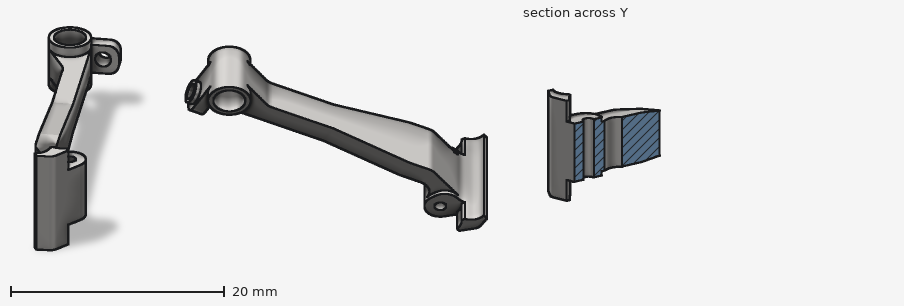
import cadquery as cq
import math

arm_angle = 28.0

barrel_radius = 2.0
barrel_bore_radius = 1.5
barrel_height = 5.0

arm_width = 2.0
foot_offset = 1.94
bend_radius = 1.5
slim_half_height = 1.5
wide_half_height = barrel_height / 2
taper_start = 11.0
taper_end = 19.02

pin_x = 23.15
pin_y = -8.07
pin_hole_radius = 0.55
boss_radius = 1.5
boss_stretch = 0.5
boss_height = 5.85
blade_height = 10.0
blade_gap = 0.08
blade_drop = 0.83
blade_inset = 0.8
hook_back_angle = 22.0
hook_knee = (2.6, -2.55)
hook_knee_radius = 0.9
hook_tip = (1.94, -3.98)

ear_thickness = 1.27
ear_length = 4.5
ear_half_width = 1.5
ear_corner_radius = 1.0
ear_ring_radius = 1.1
ear_ring_height = 0.5
ear_hole_radius = 0.75

sin_arm = math.sin(math.radians(arm_angle))
cos_arm = math.cos(math.radians(arm_angle))
boss_bottom = pin_y - boss_stretch - boss_radius


def in_arm_frame(along, across):
    """Point at a distance along the arm and across it, from the barrel axis."""
    return (along * cos_arm + across * sin_arm, across * cos_arm - along * sin_arm)


def cylinder(x, y, radius, height):
    return cq.Workplane("XY").center(x, y).circle(radius).extrude(height / 2, both=True)


def make_arm():
    pin_along = pin_x * cos_arm - pin_y * sin_arm
    pin_across = pin_x * sin_arm + pin_y * cos_arm
    arc_across = arm_width + bend_radius
    reach = boss_radius + bend_radius
    arc_along = pin_along - math.sqrt(reach**2 - (arc_across - pin_across) ** 2)
    arc_x, arc_y = in_arm_frame(arc_along, arc_across)
    arc_start = in_arm_frame(arc_along, arm_width)
    arc_middle = (arc_x, arc_y - bend_radius)
    arc_end = ((arc_x + pin_x) / 2, (arc_y + pin_y) / 2)

    root_bend = (foot_offset * cos_arm / sin_arm, -foot_offset)
    end_bend = (-boss_bottom * cos_arm / sin_arm, boss_bottom)
    outline = (
        cq.Workplane("XY")
        .moveTo(*in_arm_frame(0, arm_width))
        .lineTo(*arc_start)
        .threePointArc(arc_middle, arc_end)
        .lineTo(pin_x, pin_y)
        .lineTo(pin_x, boss_bottom)
        .lineTo(*end_bend)
        .lineTo(*root_bend)
        .lineTo(0, -barrel_radius)
        .close()
        .extrude(wide_half_height, both=True)
    )
    for bend in (root_bend, end_bend):
        corner = cq.selectors.BoxSelector(
            (bend[0] - bend_radius, bend[1] - bend_radius, -barrel_height),
            (bend[0] + bend_radius, bend[1] + bend_radius, barrel_height),
        )
        outline = outline.edges("|Z").edges(corner).fillet(bend_radius)

    far_end = 2 * taper_end
    near_end = -2 * barrel_radius
    upper = [
        (near_end, slim_half_height),
        (taper_start, slim_half_height),
        (taper_end, wide_half_height),
        (far_end, wide_half_height),
    ]
    lower = [(along, -height) for along, height in reversed(upper)]
    side = cq.Workplane("XZ").polyline(upper + lower).close().extrude(far_end, both=True)
    return outline.intersect(side.rotate((0, 0, 0), (0, 0, 1), -arm_angle))


def make_slot(radius, height):
    """Upright slot shape around the pin, concentric with the boss."""
    slot = cylinder(pin_x, pin_y, radius, height)
    slot = slot.union(cylinder(pin_x, pin_y - boss_stretch, radius, height))
    middle = cq.Workplane("XY").center(pin_x, pin_y - boss_stretch / 2)
    return slot.union(middle.rect(2 * radius, boss_stretch).extrude(height / 2, both=True))


def make_head():
    """Boss and hook in one outline; beyond the boss height only the hook blade remains."""
    back = math.radians(hook_back_angle)
    middle_angle = (math.pi + back) / 2
    hollow_y = boss_bottom - boss_radius
    tip_y = pin_y + hook_tip[1]
    tip_inner_x = pin_x + math.sqrt(boss_radius**2 - (tip_y - hollow_y) ** 2)
    diagonal = boss_radius * math.sqrt(0.5)
    lower_y = pin_y - boss_stretch
    head = (
        cq.Workplane("XY")
        .moveTo(pin_x - boss_radius, pin_y)
        .threePointArc(
            (pin_x + boss_radius * math.cos(middle_angle), pin_y + boss_radius * math.sin(middle_angle)),
            (pin_x + boss_radius * math.cos(back), pin_y + boss_radius * math.sin(back)),
        )
        .lineTo(pin_x + hook_knee[0], pin_y + hook_knee[1])
        .lineTo(pin_x + hook_tip[0], tip_y)
        .lineTo(tip_inner_x, tip_y)
        .threePointArc((pin_x + diagonal, hollow_y + diagonal), (pin_x, boss_bottom))
        .threePointArc((pin_x - diagonal, lower_y - diagonal), (pin_x - boss_radius, lower_y))
        .close()
        .extrude(blade_height / 2, both=True)
    )
    head = head.edges("|Z").edges(">X").fillet(hook_knee_radius)

    clearance = make_slot(boss_radius + blade_gap, blade_height)
    above_blade = cq.Workplane("XY").moveTo(pin_x - blade_height, pin_y - blade_drop)
    clearance = clearance.union(
        above_blade.rect(2 * blade_height, blade_height, centered=False).extrude(blade_height / 2, both=True)
    )
    left_of_blade = cq.Workplane("XY").moveTo(pin_x + blade_inset, pin_y - blade_height)
    clearance = clearance.union(
        left_of_blade.rect(-blade_height, 2 * blade_height, centered=False).extrude(blade_height / 2, both=True)
    )
    boss_layer = cq.Workplane("XY").center(pin_x, pin_y).box(4 * blade_height, 4 * blade_height, boss_height)
    return head.cut(clearance.cut(boss_layer))


def make_ear():
    """Rounded plate with a raised ring on its outer face, built upright and then tilted."""
    ring_y = ear_length - ear_half_width
    plate = (
        cq.Workplane("XY")
        .box(ear_thickness, ear_length, 2 * ear_half_width, centered=(False, False, True))
        .translate((-barrel_radius, 0, 0))
        .edges("|X and >Y")
        .fillet(ear_corner_radius)
    )
    outer_face = cq.Workplane("YZ", origin=(-barrel_radius, ring_y, 0))
    ring = outer_face.circle(ear_ring_radius).extrude(-ear_ring_height)
    hole = outer_face.circle(ear_hole_radius).extrude(ear_thickness + ear_ring_height, both=True)
    return plate.union(ring).cut(hole).rotate((0, 0, 0), (0, 0, 1), -arm_angle)


barrel = cylinder(0, 0, barrel_radius, barrel_height)
barrel_bore = cylinder(0, 0, barrel_bore_radius, barrel_height)
pin_hole = cylinder(pin_x, pin_y, pin_hole_radius, boss_height)

result = (
    barrel.union(make_arm())
    .union(make_ear())
    .union(make_head())
    .cut(barrel_bore)
    .cut(pin_hole)
)